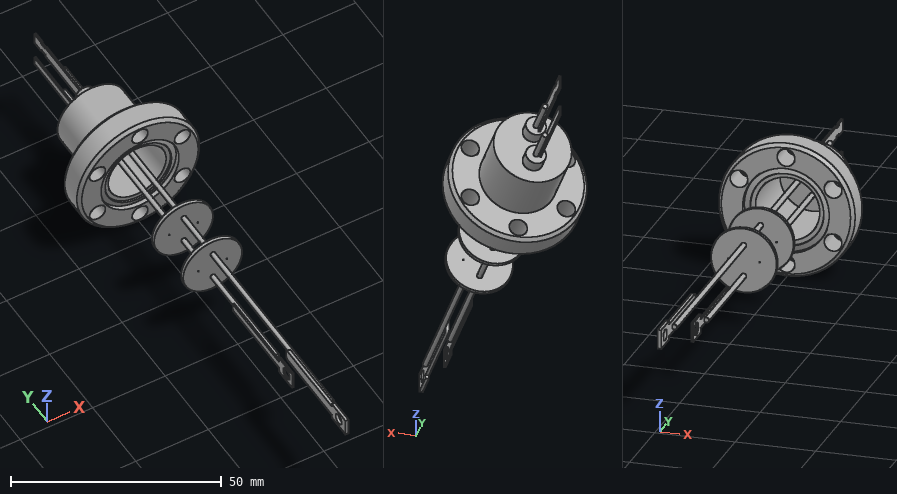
import cadquery as cq


TOTAL_LENGTH = 145.2
REAR_TIP_Y = 47.3
FRONT_TIP_Y = REAR_TIP_Y - TOTAL_LENGTH

FLANGE_DIAMETER = 33.8
FLANGE_THICKNESS = 7.4
FLANGE_CHAMFER = 0.9
BOLT_COUNT = 6
BOLT_CIRCLE_DIAMETER = 27.0
BOLT_HOLE_DIAMETER = 4.4

RECESS_DIAMETER = 21.5
KNIFE_DIAMETER = 18.3
KNIFE_DEPTH = 0.7
RECESS_DEPTH = 1.3

BODY_DIAMETER = 19.0
BODY_REAR_Y = 22.4
BORE_DIAMETER = 16.0
END_CAP_THICKNESS = 1.5

PIN_OFFSET = 3.9
INSULATOR_DIAMETER = 5.0
INSULATOR_LENGTH = 3.5
INSULATOR_REAR_Y = BODY_REAR_Y + INSULATOR_LENGTH
ROD_DIAMETER = 1.3
ROD_REAR_Y = 35.3
ROD_FRONT_SETBACK = 8.7

TAB_INNER_X = -0.6
THIN_TAB = 0.5
THICK_TAB = 0.9
WIDE_TAB = 3.0
NARROW_TAB = 2.2
WIDE_TAB_CORNER_RADIUS = 0.9

EYE_WIDTH = 4.8
UPPER_EYE_LENGTH = 6.4
LOWER_EYE_LENGTH = 6.1
UPPER_EYE_HOLE_SETBACK = 3.2
LOWER_EYE_HOLE_SETBACK = 2.6
FRONT_TAB_LENGTH = 27.6
UPPER_EYE_HOLE_DIAMETER = 2.8
LOWER_EYE_HOLE_DIAMETER = 3.0
LOWER_FRONT_TIP_Y = FRONT_TIP_Y + 25.5

LOWER_REAR_TAB_GAP = 0.9
NOTCH_FRONT_Y = 42.4
NOTCH_LENGTH = 1.9
NOTCH_DEPTH = 0.5

DISC_DIAMETER = 16.3
DISC_THICKNESS = 1.0
DISC_CENTRES_Y = (-19.7, -33.2)
DISC_PINHOLE_DIAMETER = 0.22


def cylinder_y(diameter, y_start, y_end, x=0.0, z=0.0):
    """Cylinder along +Y between two Y positions."""
    base = cq.Workplane("XZ", origin=(x, y_start, z))
    return base.circle(diameter / 2).extrude(y_start - y_end)


def tab_plate(width, thickness, y_start, y_end, z):
    """Flat plate whose inner face is at TAB_INNER_X, centred on height z."""
    plate = cq.Workplane("XY").box(thickness, y_end - y_start, width)
    return plate.translate((TAB_INNER_X - thickness / 2, (y_start + y_end) / 2, z))


def flange_and_body():
    flange = cylinder_y(FLANGE_DIAMETER, 0, FLANGE_THICKNESS).edges().chamfer(FLANGE_CHAMFER)
    shell = flange.union(cylinder_y(BODY_DIAMETER, 0, BODY_REAR_Y))

    bore_end_y = BODY_REAR_Y - END_CAP_THICKNESS
    cavity = (
        cq.Workplane("XY")
        .moveTo(0, 0)
        .lineTo(RECESS_DIAMETER / 2, 0)
        .lineTo(RECESS_DIAMETER / 2, RECESS_DEPTH)
        .lineTo(KNIFE_DIAMETER / 2, KNIFE_DEPTH)
        .lineTo(KNIFE_DIAMETER / 2, RECESS_DEPTH)
        .lineTo(BORE_DIAMETER / 2, RECESS_DEPTH)
        .lineTo(BORE_DIAMETER / 2, bore_end_y)
        .lineTo(0, bore_end_y)
        .close()
        .revolve(360, (0, 0, 0), (0, 1, 0))
    )
    bolt_holes = (
        cq.Workplane("XZ")
        .polarArray(BOLT_CIRCLE_DIAMETER / 2, 90, 360, BOLT_COUNT)
        .circle(BOLT_HOLE_DIAMETER / 2)
        .extrude(-FLANGE_THICKNESS)
    )
    return shell.cut(cavity).cut(bolt_holes)


def spacer_disc(centre_y):
    front_y = centre_y - DISC_THICKNESS / 2
    rear_y = centre_y + DISC_THICKNESS / 2
    disc = cylinder_y(DISC_DIAMETER, front_y, rear_y)
    for x in (-PIN_OFFSET, PIN_OFFSET):
        disc = disc.cut(cylinder_y(DISC_PINHOLE_DIAMETER, front_y, rear_y, x=x))
    return disc


def front_strip(width, thickness, tip_y, z):
    return tab_plate(width, thickness, tip_y, tip_y + FRONT_TAB_LENGTH, z)


def add_eye(strip, thickness, tip_y, length, hole_setback, hole_diameter, z):
    """Widen the tip of a strip into a rectangular eye with a cross hole."""
    eye = tab_plate(EYE_WIDTH, thickness, tip_y, tip_y + length, z)
    hole = (
        cq.Workplane("YZ", origin=(TAB_INNER_X - thickness, tip_y + hole_setback, z))
        .circle(hole_diameter / 2)
        .extrude(thickness)
    )
    return strip.union(eye).cut(hole)


def upper_front_tab():
    strip = front_strip(WIDE_TAB, THICK_TAB, FRONT_TIP_Y, PIN_OFFSET)
    strip = strip.faces(">Y").edges("|X").fillet(WIDE_TAB_CORNER_RADIUS)
    return add_eye(
        strip, THICK_TAB, FRONT_TIP_Y,
        UPPER_EYE_LENGTH, UPPER_EYE_HOLE_SETBACK, UPPER_EYE_HOLE_DIAMETER, PIN_OFFSET,
    )


def lower_front_tab():
    strip = front_strip(NARROW_TAB, THIN_TAB, LOWER_FRONT_TIP_Y, -PIN_OFFSET)
    return add_eye(
        strip, THIN_TAB, LOWER_FRONT_TIP_Y,
        LOWER_EYE_LENGTH, LOWER_EYE_HOLE_SETBACK, LOWER_EYE_HOLE_DIAMETER, -PIN_OFFSET,
    )


def pin(tip_y, z):
    """Insulator on the end cap with its conductor rod passing through."""
    rod_front_y = tip_y + ROD_FRONT_SETBACK
    insulator = cylinder_y(INSULATOR_DIAMETER, BODY_REAR_Y - END_CAP_THICKNESS, INSULATOR_REAR_Y, z=z)
    return insulator.union(cylinder_y(ROD_DIAMETER, rod_front_y, ROD_REAR_Y, z=z))


def upper_rear_tab():
    """Wide strip with a small notch in each long edge near its tip."""
    tab = tab_plate(WIDE_TAB, THIN_TAB, INSULATOR_REAR_Y, REAR_TIP_Y, PIN_OFFSET)
    notch_end_y = NOTCH_FRONT_Y + NOTCH_LENGTH
    for side in (-1, 1):
        notch_z = PIN_OFFSET + side * WIDE_TAB / 2
        tab = tab.cut(tab_plate(2 * NOTCH_DEPTH, THIN_TAB, NOTCH_FRONT_Y, notch_end_y, notch_z))
    return tab


def lower_rear_tab():
    start_y = INSULATOR_REAR_Y + LOWER_REAR_TAB_GAP
    return tab_plate(NARROW_TAB, THIN_TAB, start_y, REAR_TIP_Y, -PIN_OFFSET)


result = flange_and_body()
for disc_y in DISC_CENTRES_Y:
    result = result.union(spacer_disc(disc_y))

result = result.union(pin(FRONT_TIP_Y, PIN_OFFSET))
result = result.union(upper_front_tab())
result = result.union(upper_rear_tab())

result = result.union(pin(LOWER_FRONT_TIP_Y, -PIN_OFFSET))
result = result.union(lower_front_tab())
result = result.union(lower_rear_tab())